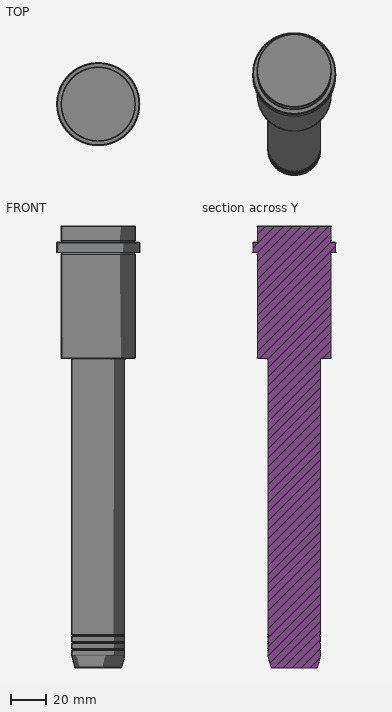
import cadquery as cq

total_length = 250.0
head_radius = 21.0
head_length = 75.0
shank_radius = 15.0

collar_radius = 23.5
collar_top_drop = 9.0
collar_height = 6.0

seat_depth = 0.2
seat_clearance = 1.0

top_break = 0.2
edge_break = 0.5
root_fillet = 0.5

tip_height = 7.2
tip_radius = 13.2
tip_bulge = 0.12

groove_width = 1.0
groove_depth = 0.5
groove_centers = (10.5, 14.5, 18.5)

head_bottom = total_length - head_length
collar_top = total_length - collar_top_drop
collar_bottom = collar_top - collar_height


def cylinder(radius, bottom, height):
    return cq.Workplane("XY").workplane(offset=bottom).circle(radius).extrude(height)


def revolve_profile(profile):
    return profile.close().revolve(360, (0, 0), (0, 1))


def shank():
    """Core up to the head, its lower end narrowing along a convex arc above a small chamfer."""
    arc_middle = ((tip_radius + shank_radius) / 2 + tip_bulge, (edge_break + tip_height) / 2)
    profile = (
        cq.Workplane("XZ")
        .lineTo(tip_radius - edge_break, 0)
        .lineTo(tip_radius, edge_break)
        .threePointArc(arc_middle, (shank_radius, tip_height))
        .lineTo(shank_radius, head_bottom)
        .lineTo(0, head_bottom)
    )
    return revolve_profile(profile)


def groove(center):
    """Ring of triangular section that cuts one V-groove."""
    profile = (
        cq.Workplane("XZ")
        .moveTo(shank_radius, center - groove_width / 2)
        .lineTo(shank_radius - groove_depth, center)
        .lineTo(shank_radius, center + groove_width / 2)
    )
    return revolve_profile(profile)


def root_fillet_ring():
    """Concave fillet between the shank and the underside of the head."""
    profile = (
        cq.Workplane("XZ")
        .moveTo(shank_radius, head_bottom)
        .lineTo(shank_radius + root_fillet, head_bottom)
        .radiusArc((shank_radius, head_bottom - root_fillet), -root_fillet)
    )
    return revolve_profile(profile)


def head():
    blank = (
        cylinder(head_radius, head_bottom, head_length)
        .faces("<Z").chamfer(edge_break)
        .faces(">Z").chamfer(top_break)
    )
    seat_bottom = collar_bottom - seat_clearance
    seat_height = collar_height + 2 * seat_clearance
    seat_core = cylinder(head_radius - seat_depth, seat_bottom, seat_height)
    seat = cylinder(collar_radius, seat_bottom, seat_height).cut(seat_core)
    return blank.cut(seat)


def collar():
    return cylinder(collar_radius, collar_bottom, collar_height).faces(">Z").chamfer(edge_break)


result = shank().union(root_fillet_ring()).union(head()).union(collar())
for groove_center in groove_centers:
    result = result.cut(groove(groove_center))